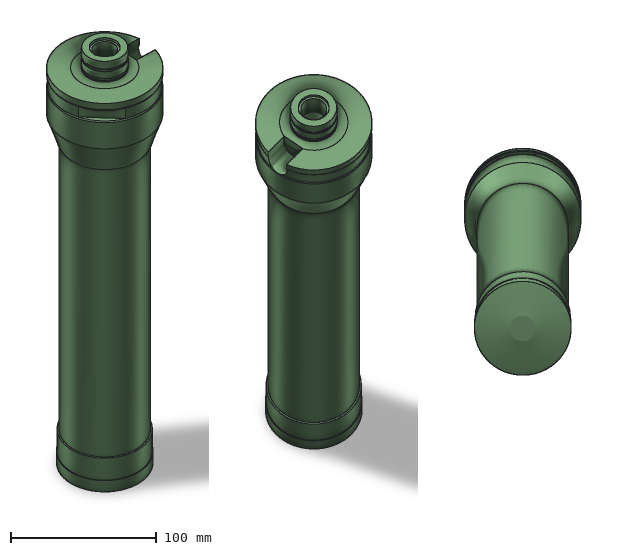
import cadquery as cq
import math

TOTAL_HEIGHT = 364.0
FOOT_BOTTOM_Z = 1.5
FOOT_TOP_Z = 11.3
SLEEVE_TOP_Z = 30.5
TUBE_TOP_Z = 281.7
COLLAR_TOP_Z = 283.5
CONE_TOP_Z = 306.5
BAND_BOTTOM_Z = 330.5
BAND_TOP_Z = 339.5
BAND_TAPER_HEIGHT = 1.0
FLANGE_TOP_Z = 346.0

FOOT_FLAT_DIAMETER = 18.0
FOOT_DIAMETER = 66.5
SLEEVE_DIAMETER = 65.5
TUBE_DIAMETER = 63.0
HEAD_DIAMETER = 80.0
BAND_DIAMETER = 79.0

FLAT_DISTANCE = 36.0
FLAT_ANGLE = -45.0

SLOT_WIDTH = 16.5
SLOT_FLOOR_FLAT = 1.0
SLOT_END_Y = 22.0
SLOT_FLOOR_Z = 329.8

DISC_DIAMETER = 47.0
DISC_BOTTOM_Z = 337.8
NECK_DIAMETER = 32.5
LEAD_IN_DIAMETER = 31.5
LEAD_IN_HEIGHT = 1.5
UPPER_GROOVE_DIAMETER = 31.0
UPPER_GROOVE_BOTTOM_Z = 355.0
UPPER_GROOVE_TOP_Z = 357.0
UNDERCUT_DIAMETER = 32.0
UNDERCUT_BOTTOM_Z = 347.3
UNDERCUT_TOP_Z = 349.0
BORE_DIAMETER = 18.0
BORE_DEPTH = 18.2
BORE_TIP_ANGLE = 118.0
COUNTERBORE_DIAMETER = 21.0
COUNTERBORE_DEPTH = 2.2


def cylinder(diameter, bottom_z, top_z):
    return cq.Workplane("XY").workplane(offset=bottom_z).circle(diameter / 2).extrude(top_z - bottom_z)


def revolve_profile(points):
    """Revolve (radius, z) points about the Z axis."""
    return cq.Workplane("XZ").polyline(points).close().revolve(360, (0, 0, 0), (0, 1, 0))


def make_slot():
    """U-shaped slot cutter with a narrow flat floor between two rounded corners."""
    corner_radius = (SLOT_WIDTH - SLOT_FLOOR_FLAT) / 2
    length = HEAD_DIAMETER / 2 - SLOT_END_Y
    height = FLANGE_TOP_Z - SLOT_FLOOR_Z
    return (
        cq.Workplane("XY")
        .box(SLOT_WIDTH, length, height, centered=(True, False, False))
        .edges("|Y and <Z")
        .fillet(corner_radius)
        .translate((0, SLOT_END_Y, SLOT_FLOOR_Z))
    )


def make_band_flat():
    """Cutter that flattens one side of the recessed band."""
    depth = HEAD_DIAMETER / 2 - FLAT_DISTANCE
    return (
        cq.Workplane("XY")
        .box(depth, HEAD_DIAMETER, BAND_TOP_Z - BAND_BOTTOM_Z, centered=(False, True, False))
        .translate((FLAT_DISTANCE, 0, BAND_BOTTOM_Z))
        .rotate((0, 0, 0), (0, 0, 1), FLAT_ANGLE)
    )


def make_housing():
    head_radius = HEAD_DIAMETER / 2
    band_radius = BAND_DIAMETER / 2
    tube_radius = TUBE_DIAMETER / 2
    sleeve_radius = SLEEVE_DIAMETER / 2
    foot_radius = FOOT_DIAMETER / 2
    foot_flat_radius = FOOT_FLAT_DIAMETER / 2
    housing = revolve_profile([
        (0, 0),
        (foot_flat_radius, 0),
        (foot_radius, FOOT_BOTTOM_Z),
        (foot_radius, FOOT_TOP_Z),
        (sleeve_radius, FOOT_TOP_Z),
        (sleeve_radius, SLEEVE_TOP_Z),
        (tube_radius, SLEEVE_TOP_Z),
        (tube_radius, TUBE_TOP_Z),
        (sleeve_radius, COLLAR_TOP_Z),
        (head_radius, CONE_TOP_Z),
        (head_radius, BAND_BOTTOM_Z - BAND_TAPER_HEIGHT),
        (band_radius, BAND_BOTTOM_Z),
        (band_radius, BAND_TOP_Z),
        (head_radius, BAND_TOP_Z + BAND_TAPER_HEIGHT),
        (head_radius, FLANGE_TOP_Z),
        (0, FLANGE_TOP_Z),
    ])
    disc_recess = cylinder(DISC_DIAMETER, DISC_BOTTOM_Z, FLANGE_TOP_Z)
    return housing.cut(make_band_flat()).cut(make_slot()).cut(disc_recess)


def make_bore():
    """Blind drilled bore with a conical bottom and a shallow counterbore."""
    radius = BORE_DIAMETER / 2
    bottom_z = TOTAL_HEIGHT - BORE_DEPTH
    tip_z = bottom_z - radius / math.tan(math.radians(BORE_TIP_ANGLE / 2))
    drill = revolve_profile([(0, tip_z), (radius, bottom_z), (radius, TOTAL_HEIGHT), (0, TOTAL_HEIGHT)])
    return drill.union(cylinder(COUNTERBORE_DIAMETER, TOTAL_HEIGHT - COUNTERBORE_DEPTH, TOTAL_HEIGHT))


def make_neck():
    """Neck with tapered lead-ins at the top and below the upper groove, and an undercut near its base."""
    neck_radius = NECK_DIAMETER / 2
    lead_in_radius = LEAD_IN_DIAMETER / 2
    groove_radius = UPPER_GROOVE_DIAMETER / 2
    undercut_radius = UNDERCUT_DIAMETER / 2
    return revolve_profile([
        (0, DISC_BOTTOM_Z),
        (neck_radius, DISC_BOTTOM_Z),
        (neck_radius, UNDERCUT_BOTTOM_Z),
        (undercut_radius, UNDERCUT_BOTTOM_Z),
        (undercut_radius, UNDERCUT_TOP_Z),
        (neck_radius, UNDERCUT_TOP_Z),
        (neck_radius, UPPER_GROOVE_BOTTOM_Z - LEAD_IN_HEIGHT),
        (lead_in_radius, UPPER_GROOVE_BOTTOM_Z),
        (groove_radius, UPPER_GROOVE_BOTTOM_Z),
        (groove_radius, UPPER_GROOVE_TOP_Z),
        (neck_radius, UPPER_GROOVE_TOP_Z),
        (neck_radius, TOTAL_HEIGHT - LEAD_IN_HEIGHT),
        (lead_in_radius, TOTAL_HEIGHT),
        (0, TOTAL_HEIGHT),
    ])


def make_connector():
    disc = cylinder(DISC_DIAMETER, DISC_BOTTOM_Z, FLANGE_TOP_Z).cut(make_slot())
    return disc.union(make_neck()).cut(make_bore())


housing = make_housing()
connector = make_connector()
result = cq.Compound.makeCompound([housing.val(), connector.val()])